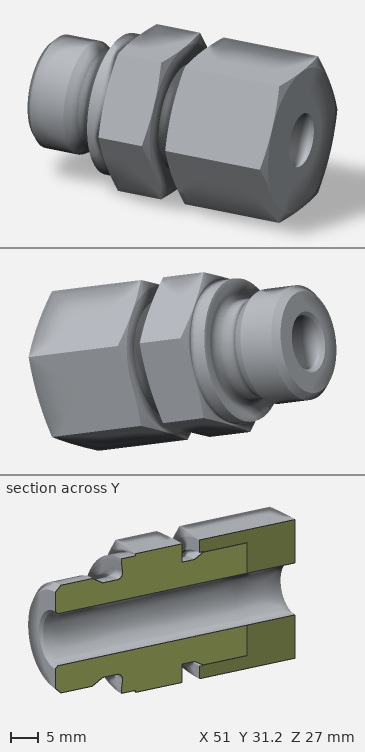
import cadquery as cq
import math


overall_length = 51.0
hex_sides = 6
flats_width = 27.0
bore_radius = 5.0
bore_mouth_radius = 5.55

stud_radius = 10.5
stud_tip_radius = 9.35
stud_tip_length = 1.2
stud_straight_end = 7.9
undercut_radius = 9.25
runout_angle = 30.0

collar_front = 14.0
collar_radius = 13.1
rim_radius = 12.5
hollow_angle = 7.0
root_fillet = 1.05

hex_front = 17.05
hex_back = 27.0
neck_radius = 9.95
neck_end = 29.65
shank_radius = 11.0
shank_end = 40.8

nut_front = 30.6

chamfer_inset = 0.05
chamfer_angle = 15.0

runout_slope = math.tan(math.radians(runout_angle))
corner_radius = flats_width / 2 / math.cos(math.pi / hex_sides)
chamfer_circle_radius = flats_width / 2 - chamfer_inset
chamfer_length = (corner_radius - chamfer_circle_radius) * math.tan(math.radians(chamfer_angle))


def cylinder(radius, start, end):
    return cq.Workplane("YZ", origin=(start, 0, 0)).circle(radius).extrude(end - start)


def revolve_about_x(profile):
    return profile.close().revolve(360, (0, 0, 0), (1, 0, 0))


def chamfered_hexagon(start, end):
    """Hexagonal prism along X whose corners are turned off conically at both ends."""
    prism = (
        cq.Workplane("YZ", origin=(start, 0, 0))
        .polygon(hex_sides, 2 * corner_radius)
        .extrude(end - start)
    )
    turned_envelope = revolve_about_x(
        cq.Workplane("XY")
        .moveTo(start, 0)
        .lineTo(start, chamfer_circle_radius)
        .lineTo(start + chamfer_length, corner_radius)
        .lineTo(end - chamfer_length, corner_radius)
        .lineTo(end, chamfer_circle_radius)
        .lineTo(end, 0)
    )
    return prism.intersect(turned_envelope)


def stud_and_collar():
    """Stud end, undercut and hollowed sealing collar, as one turned shape."""
    taper_end = stud_straight_end + (stud_radius - undercut_radius) / runout_slope

    slant = math.radians(hollow_angle)
    sweep = math.radians(90 + hollow_angle)
    arc_center_radius = undercut_radius + root_fillet
    arc_end_radius = arc_center_radius - root_fillet * math.cos(sweep)
    arc_end = collar_front + (rim_radius - arc_end_radius) * math.tan(slant)
    arc_start = arc_end - root_fillet * math.sin(sweep)
    arc_middle = (
        arc_start + root_fillet * math.sin(sweep / 2),
        arc_center_radius - root_fillet * math.cos(sweep / 2),
    )
    return revolve_about_x(
        cq.Workplane("XY")
        .moveTo(0, 0)
        .lineTo(0, stud_tip_radius)
        .lineTo(stud_tip_length, stud_radius)
        .lineTo(stud_straight_end, stud_radius)
        .lineTo(taper_end, undercut_radius)
        .lineTo(arc_start, undercut_radius)
        .threePointArc(arc_middle, (arc_end, arc_end_radius))
        .lineTo(collar_front, rim_radius)
        .lineTo(collar_front, collar_radius)
        .lineTo(hex_front, collar_radius)
        .lineTo(hex_front, 0)
    )


def rear_shank():
    """Neck behind the hexagon, flaring to the shank that enters the nut."""
    flare_end = neck_end + (shank_radius - neck_radius) / runout_slope
    return revolve_about_x(
        cq.Workplane("XY")
        .moveTo(hex_back, 0)
        .lineTo(hex_back, neck_radius)
        .lineTo(neck_end, neck_radius)
        .lineTo(flare_end, shank_radius)
        .lineTo(shank_end, shank_radius)
        .lineTo(shank_end, 0)
    )


def make_stud_body():
    solid = stud_and_collar().union(chamfered_hexagon(hex_front, hex_back)).union(rear_shank())
    solid = solid.cut(cylinder(bore_radius, 0, shank_end))
    mouth_depth = bore_mouth_radius - bore_radius
    mouth = revolve_about_x(
        cq.Workplane("XY")
        .moveTo(0, 0)
        .lineTo(0, bore_mouth_radius)
        .lineTo(mouth_depth, bore_radius)
        .lineTo(mouth_depth, 0)
    )
    return solid.cut(mouth)


def make_union_nut():
    """Hexagonal nut with a socket for the shank and the bore carried on through it."""
    socket = cylinder(shank_radius, nut_front, shank_end)
    bore = cylinder(bore_radius, shank_end, overall_length)
    return chamfered_hexagon(nut_front, overall_length).cut(socket).cut(bore)


stud_body = make_stud_body()
union_nut = make_union_nut()

result = cq.Compound.makeCompound([stud_body.val(), union_nut.val()])